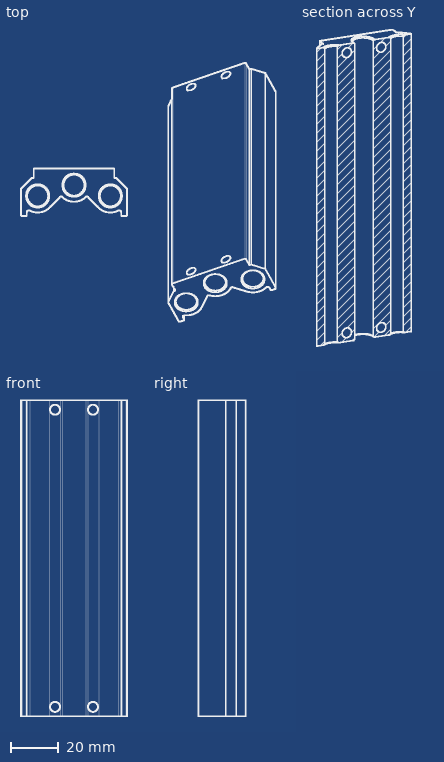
import cadquery as cq
import math

length = 132.5
width = 44.5
half_width = width / 2
depth = 20.0

block_half_width = 17.0
block_depth = 4.0
shoulder_half_width = 17.8
shoulder_drop = half_width - shoulder_half_width

center_bore_y = -7.0
side_bore_x = 15.2
side_bore_y = -11.5
bore_radius = 4.4
bore_chamfer = 0.5
lobe_radius = 7.0

leg_width = 2.5
leg_inner_x = half_width - leg_width

corner_radius = 0.5
leg_root_radius = 0.8

hole_diameter = 4.1
hole_x = 8.0
hole_end_distance = 4.0

diagonal = math.sqrt(0.5)
flank_start = (
    side_bore_x - lobe_radius * diagonal,
    side_bore_y - lobe_radius * diagonal,
)
flank_sum = flank_start[0] + flank_start[1] - center_bore_y
flank_offset = flank_sum * diagonal
flank_reach = math.sqrt(lobe_radius**2 - flank_offset**2)
valley = (
    (flank_offset + flank_reach) * diagonal,
    center_bore_y + (flank_offset - flank_reach) * diagonal,
)

leg_root_drop = math.sqrt(lobe_radius**2 - (leg_inner_x - side_bore_x) ** 2)
leg_root = (leg_inner_x, side_bore_y - leg_root_drop)


def mirrored(point):
    return (-point[0], point[1])


def extruded_body():
    side_lobe_bottom = (side_bore_x, side_bore_y - lobe_radius)
    center_lobe_bottom = (0, center_bore_y - lobe_radius)
    outer = [
        (leg_inner_x, -depth),
        (half_width, -depth),
        (half_width, -block_depth - shoulder_drop),
        (shoulder_half_width, -block_depth),
        (block_half_width, -block_depth),
        (block_half_width, 0),
    ]
    outer += [mirrored(point) for point in reversed(outer)]
    profile = cq.Workplane("XY").moveTo(*leg_root)
    for point in outer:
        profile = profile.lineTo(*point)
    return (
        profile.lineTo(*mirrored(leg_root))
        .threePointArc(mirrored(side_lobe_bottom), mirrored(flank_start))
        .lineTo(*mirrored(valley))
        .threePointArc(center_lobe_bottom, valley)
        .lineTo(*flank_start)
        .threePointArc(side_lobe_bottom, leg_root)
        .close()
        .extrude(length)
    )


def round_edge_pair(body, point, radius):
    """Round the lengthwise edge through point and its mirror image."""
    for x, y in (point, mirrored(point)):
        edge = cq.selectors.NearestToPointSelector((x, y, length / 2))
        body = body.edges("|Z").edges(edge).fillet(radius)
    return body


def bore(x, y):
    """Through bore with a chamfered mouth at both ends."""
    mouth_radius = bore_radius + bore_chamfer
    section = [
        (0, 0),
        (mouth_radius, 0),
        (bore_radius, bore_chamfer),
        (bore_radius, length - bore_chamfer),
        (mouth_radius, length),
        (0, length),
    ]
    tool = cq.Workplane("XZ").polyline(section).close().revolve(360, (0, 0), (0, 1))
    return tool.translate((x, y, 0))


def mounting_holes():
    hole_pitch_z = length - 2 * hole_end_distance
    return (
        cq.Workplane("XZ", origin=(0, 0, length / 2))
        .rarray(2 * hole_x, hole_pitch_z, 2, 2)
        .circle(hole_diameter / 2)
        .extrude(depth)
    )


result = extruded_body()

result = round_edge_pair(result, leg_root, leg_root_radius)
for corner in (
    (block_half_width, 0),
    (half_width, -depth),
    (leg_inner_x, -depth),
    valley,
):
    result = round_edge_pair(result, corner, corner_radius)

for bore_x, bore_y in (
    (-side_bore_x, side_bore_y),
    (0, center_bore_y),
    (side_bore_x, side_bore_y),
):
    result = result.cut(bore(bore_x, bore_y))

result = result.cut(mounting_holes())